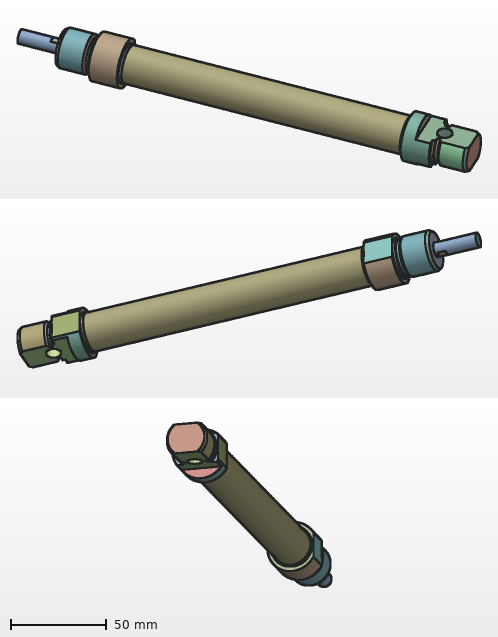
import cadquery as cq

total_length = 256.0
nose_start = 23.8
front_collar_start = 44.0
collar_length = 16.0
rear_collar_start = 220.2
front_collar_end = front_collar_start + collar_length
rear_collar_end = rear_collar_start + collar_length

rod_radius = 8.0 / 2
tube_radius = 10.5
boss_radius = 11.0
relief_radius = 9.7
collar_radius = 27.0 / 2

lip_length = 1.5
shoulder_length = 1.5
relief_length = 1.8
end_chamfer_length = 1.8
end_chamfer_depth = 1.0
relief_taper = boss_radius - relief_radius

collar_width = 25.0
collar_flat_y = collar_width - collar_radius
tang_half_thickness = 8.0
tang_start = 227.5
pivot_x = 239.5
pivot_radius = 8.0 / 2
wrench_start = 18.0
wrench_length = 4.4
wrench_half_width = 7.0 / 2

cut_size = 4 * collar_radius


def rear_boss_outline(collar_end, boss_end):
    """Profile points from a collar face outwards to the end of its boss."""
    relief_start = collar_end + shoulder_length
    relief_end = relief_start + relief_length
    return [
        (collar_end, boss_radius),
        (relief_start, boss_radius),
        (relief_start, relief_radius),
        (relief_end, relief_radius),
        (relief_end + relief_taper, boss_radius),
        (boss_end - end_chamfer_length, boss_radius),
        (boss_end, boss_radius - end_chamfer_depth),
    ]


def front_boss_outline():
    """The same boss, mirrored so that it runs from the nose to the front collar."""
    mirror_sum = nose_start + front_collar_start
    outline = rear_boss_outline(nose_start, front_collar_start)
    return [(mirror_sum - x, radius) for x, radius in reversed(outline)]


def turned_cylinder():
    outline = [(nose_start, 0)]
    outline += front_boss_outline()
    outline += [
        (front_collar_start, collar_radius),
        (front_collar_end, collar_radius),
        (front_collar_end, boss_radius),
        (front_collar_end + lip_length, boss_radius),
        (front_collar_end + lip_length, tube_radius),
        (rear_collar_start - lip_length, tube_radius),
        (rear_collar_start - lip_length, boss_radius),
        (rear_collar_start, boss_radius),
        (rear_collar_start, collar_radius),
        (rear_collar_end, collar_radius),
    ]
    outline += rear_boss_outline(rear_collar_end, total_length)
    outline += [(total_length, 0)]
    return cq.Workplane("XY").polyline(outline).close().revolve(360, (0, 0, 0), (1, 0, 0))


def z_flats_cutter(start, length, half_thickness):
    """Two blocks, above and below, that leave parallel flats square to Z."""
    blocks = cq.Workplane("XY")
    for side in (1, -1):
        block = cq.Workplane("XY").box(length, cut_size, cut_size, centered=(False, True, True))
        blocks = blocks.add(block.translate((start, 0, side * (half_thickness + cut_size / 2))))
    return blocks.combine()


def make_cylinder():
    body = turned_cylinder()

    collar_trim = cq.Workplane("XY").box(
        total_length, cut_size, cut_size, centered=(False, False, True)
    )
    body = body.cut(collar_trim.translate((0, collar_flat_y, 0)))

    body = body.cut(z_flats_cutter(tang_start, total_length - tang_start, tang_half_thickness))
    pivot = cq.Workplane("XY").center(pivot_x, 0).circle(pivot_radius).extrude(cut_size / 2, both=True)
    body = body.cut(pivot)

    bore = cq.Workplane("YZ").circle(rod_radius).extrude(front_collar_end)
    return body.cut(bore)


def make_piston_rod():
    rod = cq.Workplane("YZ").circle(rod_radius).extrude(front_collar_end)
    return rod.cut(z_flats_cutter(wrench_start, wrench_length, wrench_half_width))


cylinder = make_cylinder()
piston_rod = make_piston_rod()

result = cq.Compound.makeCompound([cylinder.solids().val(), piston_rod.solids().val()])